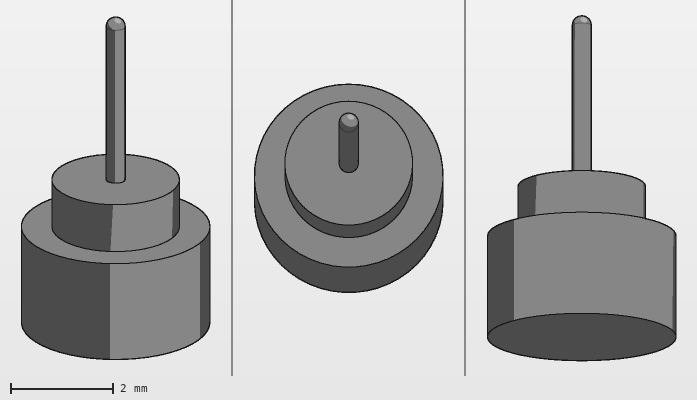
import cadquery as cq

total_height = 6.5

body_diameter = 3.7
body_height = 2.05
collar_diameter = 2.5
collar_height = 1.0

pin_diameter = 0.38
pin_radius = pin_diameter / 2
collar_top = body_height + collar_height
pin_straight_length = total_height - pin_radius - collar_top

body = cq.Workplane("XY").circle(body_diameter / 2).extrude(body_height)
collar = (
    cq.Workplane("XY")
    .workplane(offset=body_height)
    .circle(collar_diameter / 2)
    .extrude(collar_height)
)
pin = (
    cq.Workplane("XY")
    .workplane(offset=collar_top)
    .circle(pin_radius)
    .extrude(pin_straight_length)
)
tip = cq.Workplane("XY").sphere(pin_radius).translate((0, 0, total_height - pin_radius))

result = body.union(collar).union(pin).union(tip)